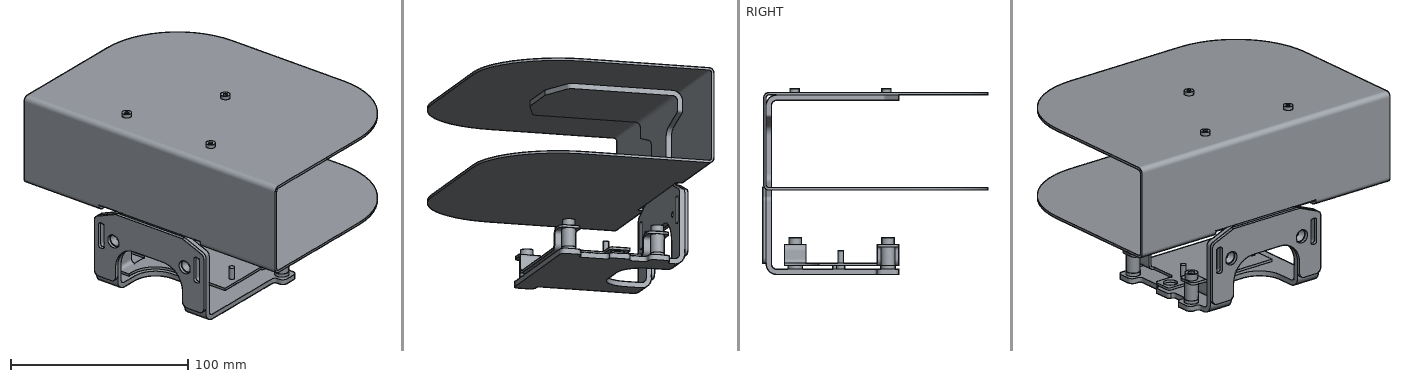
import cadquery as cq
import math

OVERALL_HEIGHT = 105.0

HOOD_WIDTH = 180.0
HOOD_HEIGHT = 55.0
HOOD_REAR = 125.1
HOOD_THICK = 1.5
HOOD_BEND = 3.0
HOOD_CORNER = 50.0
HOOD_SLOT_WIDTH = 72.5
HOOD_SLOT_TOP = 51.1
HOOD_SLOT_GAP = 1.0

SCREW_HEAD_RADIUS = 2.7
SCREW_HEAD_HEIGHT = 2.2
SCREW_SHANK_RADIUS = 1.5
SCREW_SOCKET_ACROSS = 2.2
SCREW_SOCKET_DEPTH = 1.0
SCREW_PLACES = [(0, 67.9), (-30.0, 16.0), (30.0, 16.0)]

SHEET = 3.0
BEND_OUTER = 6.0
BRACKET_REAR = 74.9
LEG_OUTER = 39.2
LEG_INNER = 24.0
ARCH_TOP = 29.9
ARCH_RADIUS = 14.0
SHOULDER_Z = 43.2
SHOULDER_SLOPE = 0.4
SHOULDER_RADIUS = 3.0
ARM_HALF_WIDTH = 13.7
ARM_LOWER_RADIUS = 4.9
ARM_UPPER_Z = 82.8
ARM_UPPER_RADIUS = 6.0
FLANGE_HALF_WIDTH = 35.1
FLANGE_EAR_Z = 89.1
FLANGE_EAR_RADIUS = 1.6
FLANGE_REAR_HALF_WIDTH = 14.4
FLANGE_CORNER_SETBACK = 8.3
FLANGE_CORNER_RADIUS = 3.0

LUG_X = 45.9
LUG_HALF_LENGTH = 6.1
LUG_RADIUS = 3.0
SIDE_LUG_RADIUS = 1.8
SIDE_LUG_X = 42.8
LUG_ROOT_RADIUS = 2.0
SIDE_LUG_Y = 39.0
BASE_CUTOUT_REAR = 30.6
BASE_CUTOUT_RADIUS = 15.0

POST_X = 39.8
POST_REAR_Y = BRACKET_REAR - LUG_HALF_LENGTH
POST_FRONT_Y = 16.4
POST_PLACES = [(-POST_X, POST_FRONT_Y), (-POST_X, POST_REAR_Y), (POST_X, POST_REAR_Y)]
POST_RADIUS = 4.0
POST_FOOT_RADIUS = 4.1
POST_HEAD_RADIUS = 3.6
POST_HEAD_HEIGHT = 3.8
POST_SOCKET_ACROSS = 3.6
POST_SOCKET_DEPTH = 1.8

TRAY_THICK = 1.5
TRAY_BOTTOM = 5.0
TRAY_BEND = 3.6
EAR_TOP = 17.1
EAR_X = 44.0
WEB_INNER = 31.7
TRAY_FRONT = 29.9
TRAY_CUTOUT_RADIUS = 16.5
TAB_HOLE_X = 36.7
TAB_HOLE_RADIUS = 4.0

STUD_X = 24.8
STUD_Y = 42.1
STUD_RADIUS = 1.6
STUD_FOOT_RADIUS = 2.3
STUD_TOP = 13.5
SPACER_RADIUS = 1.6

PLATE_THICK = 2.0
PLATE_TOP = 49.3
PLATE_BOTTOM = 6.3
PLATE_CORNER = 3.0
SLOT_X = 34.2
SLOT_WIDTH = 4.0
SLOT_BOTTOM = 24.7
SLOT_TOP = 40.5
SLOT_CORNER = 1.5
HOLE_X = 25.5
HOLE_Z = 31.7
PLATE_HOLE_RADIUS = 4.0
COUNTERSINK_RADIUS = 3.6
WALL_HOLE_RADIUS = 1.5

HOOD_TOP = OVERALL_HEIGHT - SCREW_HEAD_HEIGHT
HOOD_BOTTOM = HOOD_TOP - HOOD_HEIGHT
FLANGE_TOP = HOOD_TOP - HOOD_THICK
BEND_INNER = BEND_OUTER - SHEET
TRAY_TOP = TRAY_BOTTOM + TRAY_THICK


def rounded_outline(plane, corners):
    """Closed wire on a plane from (u, v, radius) corners; radius 0 stays sharp."""
    wire = None
    for i, (u, v, radius) in enumerate(corners):
        corner = cq.Vector(u, v)
        to_last = (cq.Vector(*corners[i - 1][:2]) - corner).normalized()
        to_next = (cq.Vector(*corners[(i + 1) % len(corners)][:2]) - corner).normalized()
        half_angle = to_last.getAngle(to_next) / 2
        tangent = radius / math.tan(half_angle)
        start = corner + to_last * tangent
        end = corner + to_next * tangent
        if wire is None:
            wire = cq.Workplane(plane).moveTo(start.x, start.y)
        else:
            wire = wire.lineTo(start.x, start.y)
        if radius > 0:
            bisector = (to_last + to_next).normalized()
            middle = corner + bisector * (radius / math.sin(half_angle) - radius)
            wire = wire.threePointArc((middle.x, middle.y), (end.x, end.y))
    return wire.close()


def mirror_image(corners):
    """Corners reflected in X = 0, in reverse order so that an outline can run on through them."""
    return [(-u, v, radius) for u, v, radius in reversed(corners)]


def mirrored(corners):
    """Corners of the +X half followed by their mirror images."""
    return corners + mirror_image(corners)


def box(x0, x1, y0, y1, z0, z1):
    return cq.Workplane("XY").box(x1 - x0, y1 - y0, z1 - z0, centered=False).translate((x0, y0, z0))


def cylinder(x, y, z0, z1, radius):
    return cq.Workplane("XY", origin=(x, y, z0)).circle(radius).extrude(z1 - z0)


def hex_socket(x, y, top, across_flats, depth):
    across_corners = across_flats / math.cos(math.pi / 6)
    return cq.Workplane("XY", origin=(x, y, top - depth)).polygon(6, across_corners).extrude(depth)


def make_hood():
    """Folded sheet with rounded rear corners and a slot that lets the bracket wall through."""
    half = HOOD_WIDTH / 2
    bend_inner = HOOD_BEND - HOOD_THICK
    profile = [
        (HOOD_REAR, HOOD_BOTTOM, 0),
        (-HOOD_THICK, HOOD_BOTTOM, HOOD_BEND),
        (-HOOD_THICK, HOOD_TOP, HOOD_BEND),
        (HOOD_REAR, HOOD_TOP, 0),
        (HOOD_REAR, HOOD_TOP - HOOD_THICK, 0),
        (0, HOOD_TOP - HOOD_THICK, bend_inner),
        (0, HOOD_BOTTOM + HOOD_THICK, bend_inner),
        (HOOD_REAR, HOOD_BOTTOM + HOOD_THICK, 0),
    ]
    folded = rounded_outline("YZ", profile).extrude(half, both=True)

    plan = mirrored([(half, -HOOD_THICK, 0), (half, HOOD_REAR, HOOD_CORNER)])
    hood = folded.intersect(rounded_outline("XY", plan).extrude(OVERALL_HEIGHT))

    slot_half = HOOD_SLOT_WIDTH / 2
    slot_rear = SHEET + HOOD_SLOT_GAP
    hood = hood.cut(box(-slot_half, slot_half, -HOOD_THICK, slot_rear, HOOD_BOTTOM, HOOD_SLOT_TOP))
    for x, y in SCREW_PLACES:
        hood = hood.cut(cylinder(x, y, FLANGE_TOP, HOOD_TOP, SCREW_SHANK_RADIUS))
    return hood


def side_slots(thickness):
    """Two upright slots from Y = 0 to Y = thickness; a negative thickness runs towards -Y."""
    left, right = SLOT_X - SLOT_WIDTH / 2, SLOT_X + SLOT_WIDTH / 2
    corners = [(u, v, SLOT_CORNER) for u, v in
               [(left, SLOT_BOTTOM), (right, SLOT_BOTTOM), (right, SLOT_TOP), (left, SLOT_TOP)]]
    slot = rounded_outline("XZ", corners).extrude(-thickness)
    return slot.union(slot.mirror("YZ"))


def lug_corners(y, reach, radius):
    """Lug that stands out from the +X edge of the base to X = reach, listed front to rear."""
    front, rear = y - LUG_HALF_LENGTH, y + LUG_HALF_LENGTH
    return [
        (LEG_OUTER, front, LUG_ROOT_RADIUS),
        (reach, front, radius),
        (reach, rear, radius),
        (LEG_OUTER, rear, LUG_ROOT_RADIUS),
    ]


def make_base():
    """Base sheet with a rounded cutout between the legs and lugs along its sides."""
    leg = [
        (LEG_INNER, BASE_CUTOUT_REAR, BASE_CUTOUT_RADIUS),
        (LEG_INNER, BEND_OUTER, 0),
        (LEG_OUTER, BEND_OUTER, 0),
    ]
    side_lug = lug_corners(SIDE_LUG_Y, SIDE_LUG_X, SIDE_LUG_RADIUS)
    rear_lug = lug_corners(POST_REAR_Y, LUG_X, LUG_RADIUS)[:3]
    front_lug = lug_corners(POST_FRONT_Y, LUG_X, LUG_RADIUS)
    right = leg + rear_lug
    left = leg + front_lug + side_lug + rear_lug
    outline = right + mirror_image(left)
    return rounded_outline("XY", outline).extrude(SHEET)


def make_wall():
    """Upright sheet: arched legs, sloping shoulders, a narrow arm, then wide again at the flange."""
    shoulder_rise = (LEG_OUTER - ARM_HALF_WIDTH) * SHOULDER_SLOPE
    corners = [
        (LEG_INNER, ARCH_TOP, ARCH_RADIUS),
        (LEG_INNER, BEND_OUTER, 0),
        (LEG_OUTER, BEND_OUTER, 0),
        (LEG_OUTER, SHOULDER_Z, SHOULDER_RADIUS),
        (ARM_HALF_WIDTH, SHOULDER_Z + shoulder_rise, ARM_LOWER_RADIUS),
        (ARM_HALF_WIDTH, ARM_UPPER_Z, ARM_UPPER_RADIUS),
        (FLANGE_HALF_WIDTH, FLANGE_EAR_Z, FLANGE_EAR_RADIUS),
        (FLANGE_HALF_WIDTH, FLANGE_TOP - BEND_OUTER, 0),
    ]
    wall = rounded_outline("XZ", mirrored(corners)).extrude(-SHEET)
    wall = wall.cut(side_slots(SHEET))
    for side in (-1, 1):
        wall = wall.cut(countersunk_hole(side * HOLE_X))
    return wall


def countersunk_hole(x):
    """Conical seat in the wall front that narrows to the hole at the wall back."""
    cone = cq.Solid.makeCone(COUNTERSINK_RADIUS, WALL_HOLE_RADIUS, SHEET,
                             pnt=cq.Vector(x, 0, HOLE_Z), dir=cq.Vector(0, 1, 0))
    return cq.Workplane(cone)


def make_flange():
    """Top flange that tapers to a narrower rear edge."""
    rear_side = BRACKET_REAR - FLANGE_CORNER_SETBACK
    corners = mirrored([
        (FLANGE_HALF_WIDTH, BEND_OUTER, 0),
        (FLANGE_HALF_WIDTH, rear_side, FLANGE_CORNER_RADIUS),
        (FLANGE_REAR_HALF_WIDTH, BRACKET_REAR, 0),
    ])
    return rounded_outline("XY", corners).extrude(-SHEET).translate((0, 0, FLANGE_TOP))


def make_bend(x0, x1, z_edge, up):
    """Quarter-round bend between the wall and a horizontal sheet whose outer face is at z_edge."""
    z_axis = z_edge + up * BEND_OUTER
    ring = cq.Workplane("YZ", origin=(x0, BEND_OUTER, z_axis)).circle(BEND_OUTER).circle(BEND_INNER)
    corner = box(x0, x1, 0, BEND_OUTER, min(z_edge, z_axis), max(z_edge, z_axis))
    return ring.extrude(x1 - x0).intersect(corner)


def make_post(x, y):
    """Standoff on the base that clamps a tray ear under its socket head."""
    head_top = EAR_TOP + POST_HEAD_HEIGHT
    post = cylinder(x, y, SHEET, TRAY_BOTTOM, POST_FOOT_RADIUS)
    post = post.union(cylinder(x, y, TRAY_BOTTOM, EAR_TOP, POST_RADIUS))
    post = post.union(cylinder(x, y, EAR_TOP, head_top, POST_HEAD_RADIUS))
    return post.cut(hex_socket(x, y, head_top, POST_SOCKET_ACROSS, POST_SOCKET_DEPTH))


def make_tray_ear(post_x, post_y):
    """Z-shaped ear: up from the tray as a web, then outwards to the post."""
    bend_inner = TRAY_BEND - TRAY_THICK
    web_outer = WEB_INNER + TRAY_THICK
    root = web_outer - TRAY_BEND - TRAY_THICK
    profile = [
        (root, TRAY_BOTTOM, 0),
        (web_outer, TRAY_BOTTOM, TRAY_BEND),
        (web_outer, EAR_TOP - TRAY_THICK, bend_inner),
        (EAR_X, EAR_TOP - TRAY_THICK, 0),
        (EAR_X, EAR_TOP, 0),
        (WEB_INNER, EAR_TOP, TRAY_BEND),
        (WEB_INNER, TRAY_TOP, bend_inner),
        (root, TRAY_TOP, 0),
    ]
    ear = rounded_outline("XZ", profile).extrude(LUG_HALF_LENGTH, both=True)
    ear = ear.edges("|Z and >X").fillet(LUG_RADIUS).translate((0, post_y, 0))
    if post_x < 0:
        ear = ear.mirror("YZ")
    return ear


def make_tray():
    """Tray with a front arm and a holed tab on the -X side, and an ear for every post."""
    root = WEB_INNER + TRAY_THICK - TRAY_BEND
    tab = [
        (root, SIDE_LUG_Y - LUG_HALF_LENGTH, LUG_ROOT_RADIUS),
        (SIDE_LUG_X, SIDE_LUG_Y - LUG_HALF_LENGTH, SIDE_LUG_RADIUS),
        (SIDE_LUG_X, SIDE_LUG_Y + LUG_HALF_LENGTH, SIDE_LUG_RADIUS),
        (root, SIDE_LUG_Y + LUG_HALF_LENGTH, LUG_ROOT_RADIUS),
    ]
    front_arm = [
        (LEG_INNER, TRAY_FRONT, TRAY_CUTOUT_RADIUS),
        (LEG_INNER, POST_FRONT_Y - LUG_HALF_LENGTH, 0),
        (root, POST_FRONT_Y - LUG_HALF_LENGTH, 0),
    ]
    rear = [(root, BRACKET_REAR, 0)]
    outline = [(root, TRAY_FRONT, 0)] + rear + mirror_image(front_arm + tab + rear)
    tray = rounded_outline("XY", outline).extrude(TRAY_THICK).translate((0, 0, TRAY_BOTTOM))
    tray = tray.cut(cylinder(-TAB_HOLE_X, SIDE_LUG_Y, TRAY_BOTTOM, TRAY_TOP, TAB_HOLE_RADIUS))
    for x, y in POST_PLACES:
        tray = tray.union(make_tray_ear(x, y))
    return tray


def make_stud(x):
    """Pin through the tray with a wider foot that spaces the tray off the base."""
    foot = cylinder(x, STUD_Y, SHEET, TRAY_BOTTOM, STUD_FOOT_RADIUS)
    return foot.union(cylinder(x, STUD_Y, TRAY_BOTTOM, STUD_TOP, STUD_RADIUS))


def make_hood_screw(x, y):
    """Shank from the flange through the hood, with a socket head on top of the hood."""
    screw = cylinder(x, y, FLANGE_TOP, HOOD_TOP, SCREW_SHANK_RADIUS)
    screw = screw.union(cylinder(x, y, HOOD_TOP, OVERALL_HEIGHT, SCREW_HEAD_RADIUS))
    return screw.cut(hex_socket(x, y, OVERALL_HEIGHT, SCREW_SOCKET_ACROSS, SCREW_SOCKET_DEPTH))


def make_bracket():
    bracket = make_base().union(make_wall()).union(make_flange())
    bracket = bracket.union(make_bend(-FLANGE_HALF_WIDTH, FLANGE_HALF_WIDTH, FLANGE_TOP, -1))
    bracket = bracket.union(make_bend(LEG_INNER, LEG_OUTER, 0, 1))
    bracket = bracket.union(make_bend(-LEG_OUTER, -LEG_INNER, 0, 1))
    bracket = bracket.union(make_tray())
    bracket = bracket.union(cylinder(0, SIDE_LUG_Y, SHEET, TRAY_BOTTOM, SPACER_RADIUS))
    for x in (-STUD_X, STUD_X):
        bracket = bracket.union(make_stud(x))
    for x, y in POST_PLACES:
        bracket = bracket.union(make_post(x, y))
    for x, y in SCREW_PLACES:
        bracket = bracket.union(make_hood_screw(x, y))
    return bracket


def make_front_plate():
    top_half_width = LEG_OUTER - (PLATE_TOP - SHOULDER_Z) / SHOULDER_SLOPE
    corners = mirrored([
        (LEG_INNER, ARCH_TOP, ARCH_RADIUS),
        (LEG_INNER, PLATE_BOTTOM, PLATE_CORNER),
        (LEG_OUTER, PLATE_BOTTOM, PLATE_CORNER),
        (LEG_OUTER, SHOULDER_Z, SHOULDER_RADIUS),
        (top_half_width, PLATE_TOP, 0),
    ])
    plate = rounded_outline("XZ", corners).extrude(PLATE_THICK)
    plate = plate.cut(side_slots(-PLATE_THICK))
    for side in (-1, 1):
        hole = cq.Workplane("XZ", origin=(side * HOLE_X, 0, HOLE_Z)).circle(PLATE_HOLE_RADIUS)
        plate = plate.cut(hole.extrude(PLATE_THICK))
    return plate


hood = make_hood()
bracket = make_bracket()
front_plate = make_front_plate()

result = cq.Compound.makeCompound([
    *hood.solids().vals(),
    *bracket.solids().vals(),
    *front_plate.solids().vals(),
])